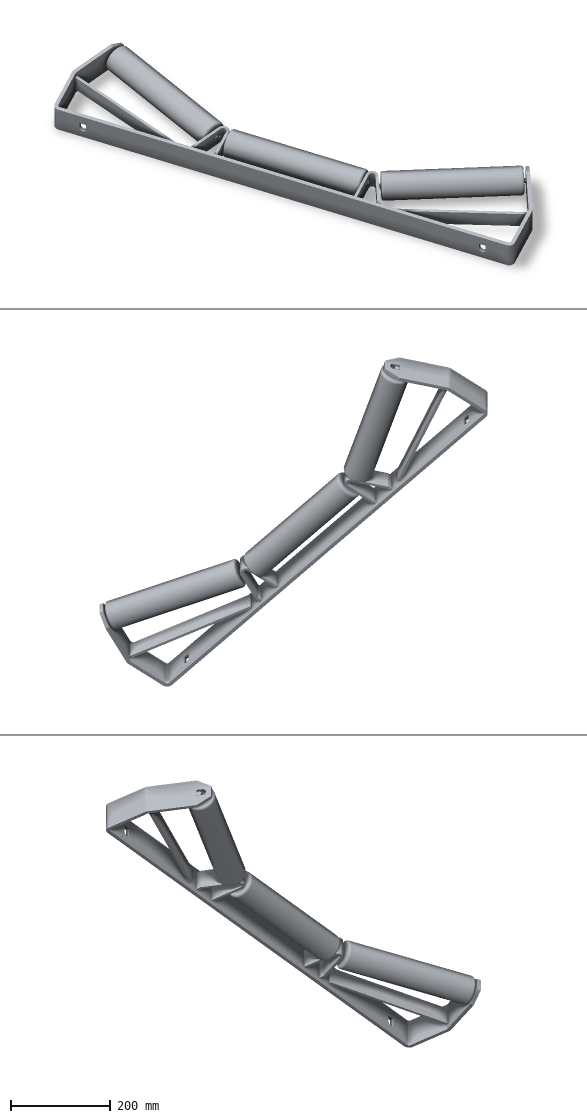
import cadquery as cq
import math


frame_length = 1000.0
frame_height = 230.0
bar_width = 60.0
bar_thickness = 8.0
bend_inner_radius = 5.0
wing_bend_height = 108.0
trough_angle = 25.0
tip_width = 25.0
tip_taper_length = 30.0
mid_width = bar_width / 2

mount_slot_offset = 434.0
mount_slot_width = 15.0
mount_slot_straight = 14.0
mount_slot_flat_z = 39.0

bracket_width = 40.0
bracket_thickness = 6.0
bracket_inner_x = 149.0
bracket_foot_x = 205.0
bracket_foot_bend_height = 19.0
bracket_bend_inner_radius = 7.0

strut_angle = 20.0
strut_width = 36.0
strut_thickness = 6.0
strut_foot_x = 230.0

roller_radius = 30.0
roller_rounding = 5.0
level_roller_length = 295.0
level_roller_height = 72.0
leaning_roller_length = 288.0
leaning_shaft_reach = 109.0

shaft_diameter = 10.0
roller_drop = 2.0
shaft_slot_width = shaft_diameter + 2 * roller_drop
shaft_slot_straight = 8.0
roller_z = mid_width - roller_drop

lean_sin = math.sin(math.radians(trough_angle))
lean_cos = math.cos(math.radians(trough_angle))
half_length = frame_length / 2
axis_direction = (lean_cos, lean_sin, 0)
wing_direction = (-lean_sin, lean_cos, 0)


def along(point, direction, distance):
    """Point moved a distance along a direction in the XY plane."""
    return (point[0] + distance * direction[0], point[1] + distance * direction[1])


def mitred_offset(path, distance):
    """Open path moved sideways to its left, with sharp corners."""
    headings = [math.atan2(b[1] - a[1], b[0] - a[0]) for a, b in zip(path, path[1:])]
    headings = [headings[0], *headings, headings[-1]]
    moved = []
    for point, before, after in zip(path, headings, headings[1:]):
        bisector = (before + after) / 2 + math.pi / 2
        stretch = distance / math.cos((after - before) / 2)
        moved.append(along(point, (math.cos(bisector), math.sin(bisector)), stretch))
    return moved


def bent_bar(outer_path, width, thickness, rounded_corners, inner_radius):
    """Flat bar bent along a path of its outer face, with the listed corners rounded."""
    inner_path = mitred_offset(outer_path, thickness)
    outline = outer_path + inner_path[::-1]
    mid_plane = cq.Workplane("XY", origin=(0, 0, mid_width))
    bar = mid_plane.polyline(outline).close().extrude(width / 2, both=True)
    for index in rounded_corners:
        for path, radius in ((inner_path, inner_radius), (outer_path, inner_radius + thickness)):
            corner_edge = cq.selectors.NearestToPointSelector((*path[index], mid_width))
            bar = bar.edges(corner_edge).fillet(radius)
    return bar


def on_side(body, side):
    """Body made for the +X side, mirrored when the side is -1."""
    return body if side > 0 else body.mirror("YZ")


wing_bend = (half_length, wing_bend_height)
wing_length = (frame_height - wing_bend_height) / lean_cos
wing_tip = along(wing_bend, wing_direction, wing_length)
wing_shaft_end = along(wing_bend, wing_direction, leaning_shaft_reach)

bracket_foot_bend = (bracket_foot_x, bracket_foot_bend_height)
bracket_leg_rise = (bracket_foot_x - bracket_inner_x) * lean_cos / lean_sin
bracket_apex = (bracket_inner_x, bracket_foot_bend_height + bracket_leg_rise)

wing_to_leg = (
    (wing_shaft_end[0] - bracket_foot_x) * lean_cos
    + (wing_shaft_end[1] - bracket_foot_bend_height) * lean_sin
    - bar_thickness
)
leaning_shaft_length = bar_thickness + wing_to_leg + bracket_thickness
leg_shaft_end = along(wing_shaft_end, axis_direction, -leaning_shaft_length)

level_shaft_length = 2 * (bracket_inner_x + bracket_thickness)


def shaft_slot(end, shaft_direction, up_direction, depth):
    """Cutter for a slot with a flat lower end and a round upper end, running in from a shaft end."""
    half_width = shaft_slot_width / 2
    floor = -shaft_diameter / 2
    plane = cq.Plane((*end, mid_width), up_direction, shaft_direction)
    return (
        cq.Workplane(plane)
        .moveTo(floor, -half_width)
        .lineTo(shaft_slot_straight, -half_width)
        .threePointArc((shaft_slot_straight + half_width, 0), (shaft_slot_straight, half_width))
        .lineTo(floor, half_width)
        .close()
        .extrude(depth)
    )


def tip_taper():
    """Cutters for the two corners at the tip of the +X wing."""
    plane = cq.Plane((*wing_tip, mid_width), wing_direction, axis_direction)
    cutters = cq.Workplane(plane)
    for edge in (-1, 1):
        corner = [
            (0, edge * tip_width / 2),
            (0, edge * bar_width / 2),
            (-tip_taper_length, edge * bar_width / 2),
        ]
        cutters = cutters.polyline(corner).close()
    return cutters.extrude(2 * bar_thickness, both=True)


def mount_slot():
    """Cutter for the base slot with a flat upper end and a round lower end."""
    half_width = mount_slot_width / 2
    arc_start_z = mount_slot_flat_z - mount_slot_straight
    return (
        cq.Workplane("XZ")
        .moveTo(mount_slot_offset - half_width, mount_slot_flat_z)
        .lineTo(mount_slot_offset - half_width, arc_start_z)
        .threePointArc(
            (mount_slot_offset, arc_start_z - half_width),
            (mount_slot_offset + half_width, arc_start_z),
        )
        .lineTo(mount_slot_offset + half_width, mount_slot_flat_z)
        .close()
        .extrude(-bar_thickness)
    )


def make_frame():
    right_path = [(half_length, 0), wing_bend, wing_tip]
    left_path = [(-x, y) for x, y in reversed(right_path)]
    path = left_path + right_path
    frame = bent_bar(path, bar_width, bar_thickness, range(1, len(path) - 1), bend_inner_radius)
    inward = (-lean_cos, -lean_sin, 0)
    wing_slot = shaft_slot(wing_shaft_end, inward, wing_direction, bar_thickness)
    for side in (-1, 1):
        for cutter in (tip_taper(), mount_slot(), wing_slot):
            frame = frame.cut(on_side(cutter, side))
    return frame


def make_bracket(side):
    foot = bar_thickness
    path = [(bracket_foot_x, foot), bracket_foot_bend, bracket_apex, (bracket_inner_x, foot)]
    bracket = bent_bar(path, bracket_width, bracket_thickness, [2], bracket_bend_inner_radius)
    level_end = (bracket_inner_x + bracket_thickness, level_roller_height)
    bracket = bracket.cut(shaft_slot(level_end, (-1, 0, 0), (0, 1, 0), bracket_thickness))
    bracket = bracket.cut(
        shaft_slot(leg_shaft_end, axis_direction, wing_direction, bracket_thickness)
    )
    return on_side(bracket, side)


def make_strut(side, frame):
    """Flat brace from the base to the wing bend, trimmed flush to the bar."""
    angle = math.radians(strut_angle)
    direction = (math.cos(angle), math.sin(angle), 0)
    length = (half_length - bar_thickness / 2 - strut_foot_x) / math.cos(angle)
    plane = cq.Plane((strut_foot_x, bar_thickness, mid_width), direction, (0, 0, 1))
    strut = cq.Workplane(plane).box(length, strut_thickness, strut_width, (False, False, True))
    return on_side(strut, side).cut(frame)


def make_roller(shaft_end, direction, shaft_length, first_gap, length):
    """Round-edged roller and its shaft as one solid, starting at a shaft end."""
    plane = cq.Plane((*shaft_end, roller_z), (0, 0, 1), direction)
    shell = cq.Workplane(plane).workplane(offset=first_gap).circle(roller_radius).extrude(length)
    shaft = cq.Workplane(plane).circle(shaft_diameter / 2).extrude(shaft_length)
    return shell.edges().fillet(roller_rounding).union(shaft)


def make_level_roller():
    end = (-level_shaft_length / 2, level_roller_height)
    gap = (level_shaft_length - level_roller_length) / 2
    return make_roller(end, (1, 0, 0), level_shaft_length, gap, level_roller_length)


def make_leaning_roller(side):
    gap = bracket_thickness + (wing_to_leg - leaning_roller_length) / 2
    roller = make_roller(
        leg_shaft_end, axis_direction, leaning_shaft_length, gap, leaning_roller_length
    )
    return on_side(roller, side)


frame = make_frame()
brackets = [make_bracket(side) for side in (-1, 1)]
struts = [make_strut(side, frame) for side in (-1, 1)]
level_roller = make_level_roller()
leaning_rollers = [make_leaning_roller(side) for side in (-1, 1)]

bodies = [frame, *brackets, *struts, level_roller, *leaning_rollers]
result = cq.Compound.makeCompound([body.solids().val() for body in bodies])